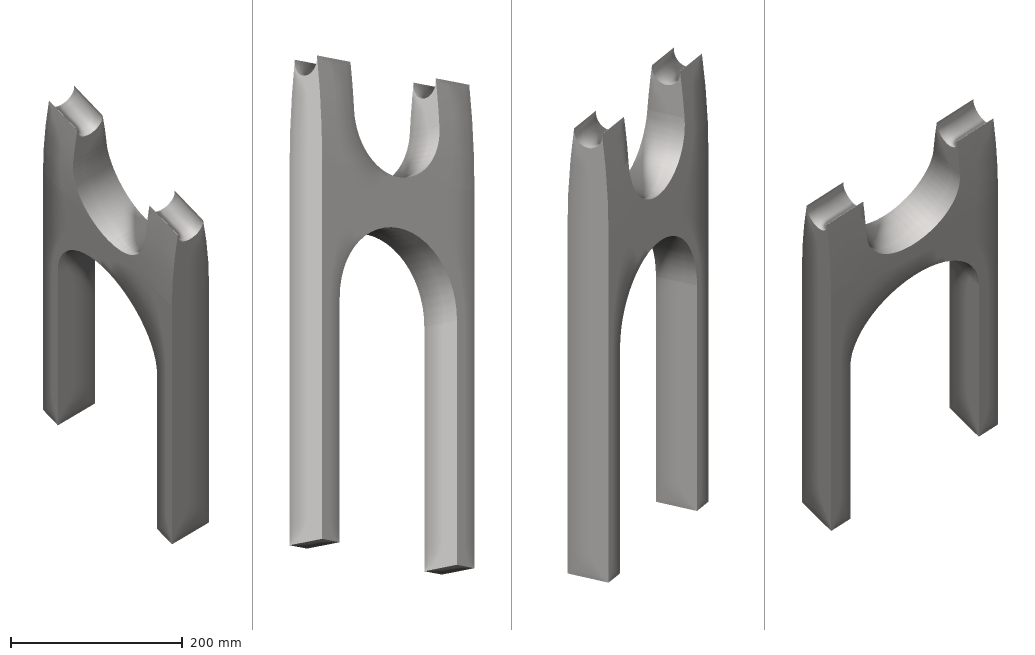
import cadquery as cq

height = 575.5
width = 250.0
thickness = 54.0
leg_width = 29.0

notch_width = 140.0
notch_bottom = 447.0
arch_top = 387.0
arch_radius = width / 2 - leg_width
notch_radius = notch_width / 2

tip_thickness = 37.0
taper_radius = 949.5

groove_radius = 18.5
groove_depth = 21.5

inlay_width = 180.0
inlay_middle_width = 119.5
inlay_bottom = 392.0
inlay_top = 442.0


def make_block(x_min, x_max, z_min, z_max):
    """Block of full thickness, centred on Y."""
    size = (x_max - x_min, thickness, z_max - z_min)
    return cq.Workplane("XY").box(*size, centered=(False, True, False)).translate((x_min, 0, z_min))


def make_side_profile():
    """Upright body whose front and back curve inward toward the top."""
    half = thickness / 2
    half_tip = tip_thickness / 2
    return (
        cq.Workplane("YZ")
        .moveTo(-half, 0)
        .lineTo(half, 0)
        .lineTo(half, notch_bottom)
        .radiusArc((half_tip, height), -taper_radius)
        .lineTo(-half_tip, height)
        .radiusArc((-half, notch_bottom), -taper_radius)
        .close()
        .extrude(width / 2, both=True)
    )


def make_notch():
    """U-shaped opening between the prongs."""
    center_z = notch_bottom + notch_radius
    return (
        cq.Workplane("XZ")
        .moveTo(-notch_radius, height)
        .lineTo(-notch_radius, center_z)
        .threePointArc((0, notch_bottom), (notch_radius, center_z))
        .lineTo(notch_radius, height)
        .close()
        .extrude(thickness, both=True)
    )


def make_arch():
    """Round-topped opening between the legs."""
    spring_z = arch_top - arch_radius
    return (
        cq.Workplane("XZ")
        .moveTo(-arch_radius, 0)
        .lineTo(-arch_radius, spring_z)
        .threePointArc((0, arch_top), (arch_radius, spring_z))
        .lineTo(arch_radius, 0)
        .close()
        .extrude(thickness, both=True)
    )


def make_groove():
    """Cylinder that hollows the tips of both prongs."""
    center_z = height - groove_depth + groove_radius
    return cq.Workplane("YZ").center(0, center_z).circle(groove_radius).extrude(width, both=True)


body = make_side_profile().cut(make_notch()).cut(make_arch()).cut(make_groove())

for side in (-1, 1):
    leg_edges = sorted((side * arch_radius, side * width / 2))
    leg = make_block(*leg_edges, 0, height).intersect(body)
    body = body.union(leg, clean=False)

inlay_edges = [-inlay_width / 2, -inlay_middle_width / 2, inlay_middle_width / 2, inlay_width / 2]
for left, right in zip(inlay_edges, inlay_edges[1:]):
    panel = make_block(left, right, inlay_bottom, inlay_top)
    body = body.union(panel, clean=False)

result = body